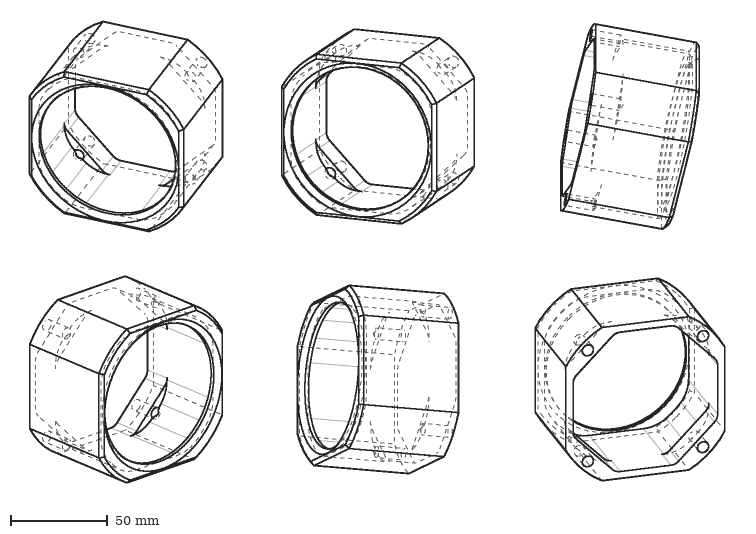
import cadquery as cq
import math

width = 86.0
length = 55.0
outer_radius = 49.0
front_chamfer = 2.0

lip_radius = 38.0
mouth_radius = 40.9
mouth_depth = mouth_radius - lip_radius
lip_end_depth = 5.0

cavity_half_width = 39.05
cavity_corner_radius = 44.0
cavity_fillet = 20.0
octagon_half_angle = 180.0 / 8
octagon_fillet = 6.0
octagon_depth = 15.05

hole_radius = 3.0
hole_depth = octagon_depth
drill_point_angle = 118.0
drill_tip_length = hole_radius / math.tan(math.radians(drill_point_angle / 2))

front_y = -length / 2
rear_y = length / 2
lip_end_y = front_y + lip_end_depth
step_y = rear_y - octagon_depth


def plane_at(y):
    """XZ work plane at the given Y, extruding toward +Y."""
    return cq.Workplane(cq.Plane(origin=(0, y, 0), xDir=(1, 0, 0), normal=(0, 1, 0)))


def flatted_cylinder(radius, flat_distance, start_y, end_y):
    """Cylinder along Y with flats on its +X, -X, +Z and -Z sides."""
    depth = end_y - start_y
    cylinder = plane_at(start_y).circle(radius).extrude(depth)
    square = plane_at(start_y).rect(2 * flat_distance, 2 * flat_distance).extrude(depth)
    return cylinder.intersect(square)


def make_body():
    body = flatted_cylinder(outer_radius, width / 2, front_y, rear_y)
    return body.faces("<Y").chamfer(front_chamfer)


def make_mouth():
    """Front cone and lip bore, turned about the Y axis."""
    return (
        cq.Workplane("XY")
        .moveTo(0, front_y)
        .lineTo(mouth_radius, front_y)
        .lineTo(lip_radius, front_y + mouth_depth)
        .lineTo(lip_radius, lip_end_y)
        .lineTo(0, lip_end_y)
        .close()
        .revolve(360, (0, 0, 0), (0, 1, 0))
    )


def make_front_cavity():
    """Square cavity whose corners are three tangent arcs: fillet, corner arc, fillet."""
    fillet_offset = cavity_half_width - cavity_fillet
    center_distance = cavity_corner_radius - cavity_fillet
    fillet_start = math.sqrt(center_distance**2 - fillet_offset**2)
    tangent_angle = math.atan2(fillet_offset, fillet_start)
    fillet_mid_angle = (math.pi / 2 + tangent_angle) / 2

    flat_end = (fillet_start, cavity_half_width)
    fillet_mid = (
        fillet_start + cavity_fillet * math.cos(fillet_mid_angle),
        fillet_offset + cavity_fillet * math.sin(fillet_mid_angle),
    )
    fillet_end = (
        cavity_corner_radius * math.cos(tangent_angle),
        cavity_corner_radius * math.sin(tangent_angle),
    )
    corner_mid = (
        cavity_corner_radius * math.cos(math.pi / 4),
        cavity_corner_radius * math.sin(math.pi / 4),
    )

    first_half = [flat_end, fillet_mid, fillet_end]
    second_half = [(z, x) for x, z in reversed(first_half)]
    corner = first_half + [corner_mid] + second_half

    outline = plane_at(lip_end_y).moveTo(-fillet_start, cavity_half_width)
    for _ in range(4):
        outline = (
            outline.lineTo(*corner[0])
            .threePointArc(corner[1], corner[2])
            .threePointArc(corner[3], corner[4])
            .threePointArc(corner[5], corner[6])
        )
        corner = [(z, -x) for x, z in corner]
    return outline.close().extrude(step_y - lip_end_y)


def make_octagon_cavity():
    """Filleted regular octagon open at the rear."""
    corner_diameter = 2 * cavity_half_width / math.cos(math.radians(octagon_half_angle))
    octagon = plane_at(step_y).polygon(8, corner_diameter).extrude(octagon_depth)
    octagon = octagon.rotate((0, 0, 0), (0, 1, 0), octagon_half_angle)
    return octagon.edges("|Y").fillet(octagon_fillet)


def make_drilled_hole():
    """Blind hole with a conical tip, on the Y axis."""
    bottom_y = rear_y - hole_depth
    return (
        cq.Workplane("XY")
        .moveTo(0, rear_y)
        .lineTo(hole_radius, rear_y)
        .lineTo(hole_radius, bottom_y)
        .lineTo(0, bottom_y - drill_tip_length)
        .close()
        .revolve(360, (0, 0, 0), (0, 1, 0))
    )


result = make_body().cut(make_mouth()).cut(make_front_cavity()).cut(make_octagon_cavity())

for corner_angle in (45, 135, 225, 315):
    hole = make_drilled_hole().translate((cavity_corner_radius, 0, 0))
    result = result.cut(hole.rotate((0, 0, 0), (0, 1, 0), corner_angle))